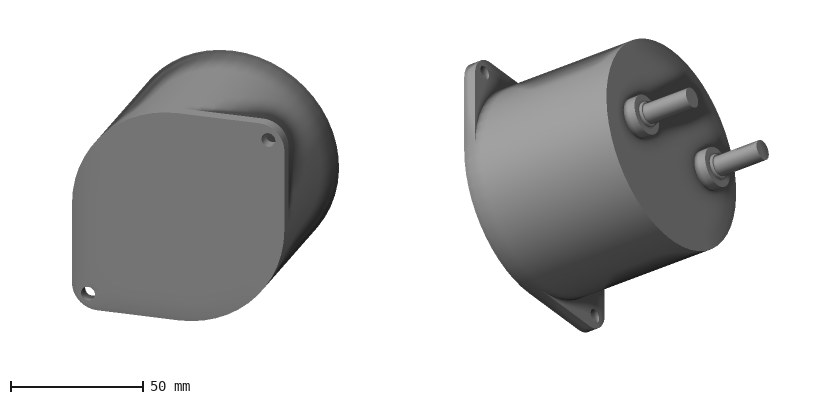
import cadquery as cq

can_diameter = 84.5
can_radius = can_diameter / 2
can_length = 66.0

flange_thickness = 5.0
corner_radius = 10.0
hole_diameter = 5.5
hole_offset = 35.9

terminal_spacing = 46.0
collar_diameter = 16.0
collar_length = 5.0
washer_diameter = 10.0
washer_thickness = 1.0
washer_chamfer = 0.4
pin_diameter = 8.0
pin_length = 20.0

mounting_face_y = 0.0
can_end_y = mounting_face_y + can_length


def cylinder(x, z, start_y, diameter, length):
    """Cylinder along +Y starting at (x, start_y, z)."""
    return cq.Workplane(
        cq.Solid.makeCylinder(
            diameter / 2, length, cq.Vector(x, start_y, z), cq.Vector(0, 1, 0)
        )
    )


def flange_corner(side):
    """Rounded square quarter from the axis out to the (side, side) corner in X and Z."""
    corner = side * can_radius
    middle_y = mounting_face_y + flange_thickness / 2
    block = (
        cq.Workplane("XY")
        .box(can_radius, flange_thickness, can_radius)
        .translate((corner / 2, middle_y, corner / 2))
    )
    outer_edge = cq.selectors.NearestToPointSelector((corner, middle_y, corner))
    return block.edges(outer_edge).fillet(corner_radius)


def mounting_hole(side):
    """Through hole in the flange corner on the given side."""
    offset = side * hole_offset
    return cylinder(offset, offset, mounting_face_y, hole_diameter, flange_thickness)


def terminal(x):
    """Stepped terminal standing on the +Y end of the can, with a chamfered washer rim."""
    washer_y = can_end_y + collar_length
    pin_y = washer_y + washer_thickness
    collar = cylinder(x, 0, can_end_y, collar_diameter, collar_length)
    washer = cylinder(x, 0, washer_y, washer_diameter, washer_thickness)
    washer = washer.faces(">Y").edges().chamfer(washer_chamfer)
    pin = cylinder(x, 0, pin_y, pin_diameter, pin_length)
    return collar.union(washer).union(pin)


result = cylinder(0, 0, mounting_face_y, can_diameter, can_length)
for side in (-1, 1):
    result = result.union(flange_corner(side))
    result = result.cut(mounting_hole(side))
    result = result.union(terminal(side * terminal_spacing / 2))